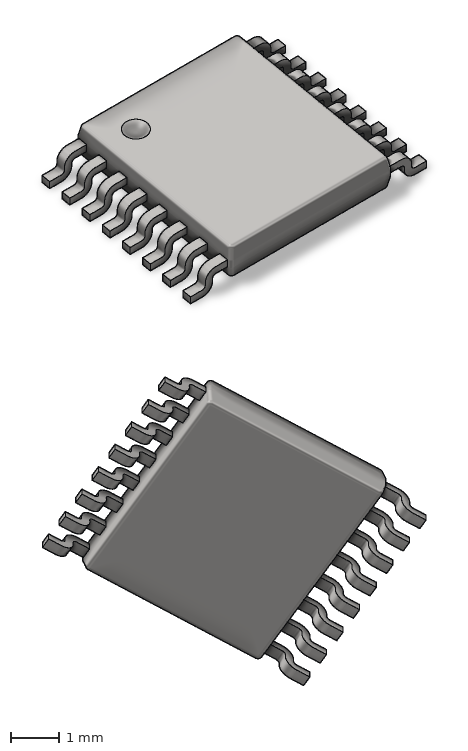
import cadquery as cq
import math

OVERALL_LENGTH = 6.4
OVERALL_HEIGHT = 1.0
BODY_WIDTH = 5.0
BODY_DEPTH = 4.4
STANDOFF = 0.1
BODY_DRAFT = 10.0
BODY_EDGE_RADIUS = 0.1

LEADS_PER_SIDE = 8
LEAD_ROW_SPAN = 4.55
LEAD_WIDTH = 0.25
LEAD_THICKNESS = 0.2
BEND_INNER_RADIUS = 0.09

DIMPLE_X = -1.57
DIMPLE_Y = -1.35
DIMPLE_DIAMETER = 0.6
DIMPLE_DEPTH = 0.115

body_mid_z = (STANDOFF + OVERALL_HEIGHT) / 2
lead_bottom_z = body_mid_z - LEAD_THICKNESS / 2
lead_top_z = body_mid_z + LEAD_THICKNESS / 2
bend_outer_radius = BEND_INNER_RADIUS + LEAD_THICKNESS
lead_pitch = LEAD_ROW_SPAN / (LEADS_PER_SIDE - 1)


def make_body():
    """Moulded block: a straight middle band, drafted inward above and below it."""
    cap_height = OVERALL_HEIGHT - lead_top_z
    band = (
        cq.Workplane("XY")
        .workplane(offset=lead_bottom_z)
        .rect(BODY_WIDTH, BODY_DEPTH)
        .extrude(LEAD_THICKNESS)
    )
    upper = (
        cq.Workplane("XY")
        .workplane(offset=lead_top_z)
        .rect(BODY_WIDTH, BODY_DEPTH)
        .extrude(cap_height, taper=BODY_DRAFT)
    )
    lower = upper.mirror("XY", (0, 0, body_mid_z))
    block = band.union(upper).union(lower)
    rim_edges = block.faces("<Z or >Z").edges()
    corner_edges = block.edges("not(|X or |Y)")
    return rim_edges.add(corner_edges).fillet(BODY_EDGE_RADIUS)


def make_lead():
    """Gull-wing lead on the +Y side, centred on X = 0, with its root inside the body."""
    tip_y = OVERALL_LENGTH / 2
    body_side_y = BODY_DEPTH / 2
    root_y = body_side_y - LEAD_THICKNESS
    upright_y = (body_side_y + tip_y) / 2
    inner_y = upright_y - LEAD_THICKNESS / 2
    outer_y = upright_y + LEAD_THICKNESS / 2
    upper_bend = (inner_y - BEND_INNER_RADIUS, lead_bottom_z - BEND_INNER_RADIUS)
    lower_bend = (outer_y + BEND_INNER_RADIUS, LEAD_THICKNESS + BEND_INNER_RADIUS)

    def on_bend(centre, radius, degrees):
        angle = math.radians(degrees)
        return (centre[0] + radius * math.cos(angle), centre[1] + radius * math.sin(angle))

    profile = (
        cq.Workplane("YZ")
        .moveTo(root_y, lead_top_z)
        .lineTo(upper_bend[0], lead_top_z)
        .threePointArc(on_bend(upper_bend, bend_outer_radius, 45), (outer_y, upper_bend[1]))
        .lineTo(outer_y, lower_bend[1])
        .threePointArc(on_bend(lower_bend, BEND_INNER_RADIUS, 225), (lower_bend[0], LEAD_THICKNESS))
        .lineTo(tip_y, LEAD_THICKNESS)
        .lineTo(tip_y, 0)
        .lineTo(lower_bend[0], 0)
        .threePointArc(on_bend(lower_bend, bend_outer_radius, 225), (inner_y, lower_bend[1]))
        .lineTo(inner_y, upper_bend[1])
        .threePointArc(on_bend(upper_bend, BEND_INNER_RADIUS, 45), (upper_bend[0], lead_bottom_z))
        .lineTo(root_y, lead_bottom_z)
        .close()
    )
    return profile.extrude(LEAD_WIDTH / 2, both=True)


def make_dimple_cutter():
    """Sphere that meets the top face in the dimple's rim circle."""
    rim_radius = DIMPLE_DIAMETER / 2
    sphere_radius = (rim_radius**2 + DIMPLE_DEPTH**2) / (2 * DIMPLE_DEPTH)
    centre_z = OVERALL_HEIGHT - DIMPLE_DEPTH + sphere_radius
    return cq.Workplane("XY").sphere(sphere_radius).translate((DIMPLE_X, DIMPLE_Y, centre_z))


result = make_body().cut(make_dimple_cutter())
rear_lead = make_lead()
front_lead = rear_lead.mirror("XZ")
for index in range(LEADS_PER_SIDE):
    lead_x = index * lead_pitch - LEAD_ROW_SPAN / 2
    for lead in (rear_lead, front_lead):
        result = result.union(lead.translate((lead_x, 0, 0)))